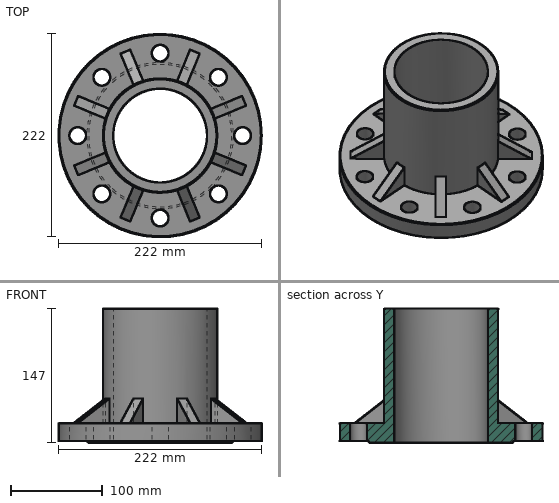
import cadquery as cq
import math

total_height = 147.0
bore_diameter = 102.2
pipe_diameter = 125.0
pipe_edge_chamfer = 1.0

flange_diameter = 222.0
flange_thickness = 20.0
flange_edge_chamfer = 1.0
face_height = 2.0
face_diameter = 160.0
face_edge_chamfer = face_height
flange_top = face_height + flange_thickness

bolt_count = 8
bolt_hole_diameter = 18.0
bolt_circle_diameter = 180.0

rib_count = bolt_count
rib_width = 11.4
rib_height = 26.5
rib_outer_radius = 99.2
rib_pitch = 360.0 / rib_count
rib_first_angle = rib_pitch / 2


def make_body():
    """Pipe, flange and raised face, revolved about Z as one section."""
    bore_radius = bore_diameter / 2
    pipe_radius = pipe_diameter / 2
    face_radius = face_diameter / 2
    flange_radius = flange_diameter / 2
    section = (
        cq.Workplane("XZ")
        .moveTo(bore_radius, 0)
        .lineTo(face_radius - face_edge_chamfer, 0)
        .lineTo(face_radius, face_edge_chamfer)
        .lineTo(flange_radius, face_height)
        .lineTo(flange_radius, flange_top - flange_edge_chamfer)
        .lineTo(flange_radius - flange_edge_chamfer, flange_top)
        .lineTo(pipe_radius, flange_top)
        .lineTo(pipe_radius, total_height - pipe_edge_chamfer)
        .lineTo(pipe_radius - pipe_edge_chamfer, total_height)
        .lineTo(bore_radius, total_height)
        .close()
    )
    return section.revolve(360, (0, 0, 0), (0, 1, 0))


def make_rib(angle):
    """Triangular rib, rooted inside the pipe wall and the flange."""
    root_radius = (bore_diameter + pipe_diameter) / 4
    peak_radius = math.sqrt((pipe_diameter / 2) ** 2 - (rib_width / 2) ** 2)
    root_height = flange_top - flange_thickness / 2
    rib_top = flange_top + rib_height
    rib = (
        cq.Workplane("XZ")
        .moveTo(root_radius, root_height)
        .lineTo(rib_outer_radius, root_height)
        .lineTo(rib_outer_radius, flange_top)
        .lineTo(peak_radius, rib_top)
        .lineTo(root_radius, rib_top)
        .close()
        .extrude(rib_width / 2, both=True)
    )
    return rib.rotate((0, 0, 0), (0, 0, 1), angle)


def make_bolt_holes():
    """Cutters for the ring of through holes, the first on the X axis."""
    return (
        cq.Workplane("XY")
        .polarArray(bolt_circle_diameter / 2, 0, 360, bolt_count)
        .circle(bolt_hole_diameter / 2)
        .extrude(flange_top)
    )


result = make_body()
for index in range(rib_count):
    result = result.union(make_rib(rib_first_angle + index * rib_pitch))
result = result.cut(make_bolt_holes())